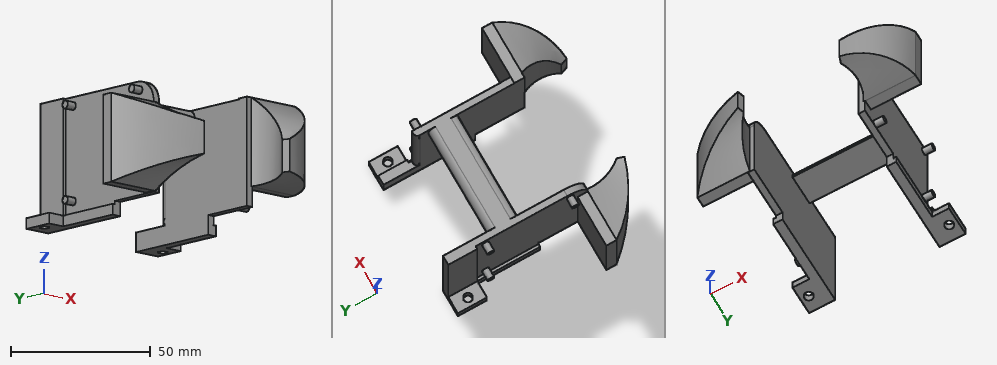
import cadquery as cq


inner_x = 21.6
plate_thickness = 2.7
outer_x = inner_x + plate_thickness
plate_top = 47.1
plate_front = 58.2
left_plate_rear = 0.0
right_plate_rear = 13.2
left_plate_bottom = 5.2
right_plate_bottom = 7.2
left_corner_radius = 8.5
right_corner_radius = 1.8

ledge_x = 25.4
rail_length = 37.9
foot_height = 4.0
foot_x = 32.4
foot_length = 12.0
foot_hole_diameter = 3.5
foot_hole_x = 29.0
foot_hole_y = 6.0

pin_diameter = 2.9
pin_end_x = 28.2
rear_pin_y = 16.0
front_pin_y = 50.9
upper_pin_z = 43.75
lower_pin_z = 8.7

bar_rear = 18.4
bar_width = 12.4
bar_height = 4.0
bar_edge_radius = 3.0

jaw_x = 45.1
jaw_plate_thickness = 4.2
jaw_height = 32.7
left_jaw_bottom = 5.6
left_jaw_top = left_jaw_bottom + jaw_height
right_jaw_bottom = 14.7
right_jaw_top = right_jaw_bottom + jaw_height

left_root_inner_x = -23.4
left_tip_outer_x = -17.3
left_tip_inner_x = -16.4
left_outer_top_middle = (-34.5, 68.6, 33.7)
left_outer_bottom_middle = (-34.5, 68.6, 11.2)
left_inner_top_middle = (-21.3, 67.1, 33.3)
left_inner_bottom_middle = (-21.3, 67.1, 12.0)
right_root_inner_x = 23.6
right_tip_outer_x = 24.6
right_tip_inner_x = 23.6
right_outer_top_middle = (39.2, 69.6, 39.6)
right_outer_bottom_middle = (39.2, 69.6, 15.6)
right_inner_top_middle = (26.1, 66.75, 39.3)
right_inner_bottom_middle = (26.1, 66.75, 15.7)
tip_y = 77.3
tip_inner_y = 74.5
tip_top = 29.1
tip_bottom = 17.1


def block(x_range, depth_range, z_range):
    """Box between two X values, two distances forward of the rear end and two Z values."""
    size = [abs(end - start) for start, end in (x_range, depth_range, z_range)]
    corner = (min(x_range), -max(depth_range), min(z_range))
    return cq.Workplane("XY").box(*size, centered=False).translate(corner)


def rail_and_foot(side, web_top, rear_block_top):
    """Base rail with its web, ledge, rear block and drilled foot; side is -1 (left) or 1 (right)."""
    web = block((side * inner_x, side * outer_x), (0, rail_length), (0, web_top))
    ledge = block((side * outer_x, side * ledge_x), (0, rail_length), (0, foot_height))
    rear_block = block((side * inner_x, side * ledge_x), (0, foot_length), (0, rear_block_top))
    foot = block((side * inner_x, side * foot_x), (0, foot_length), (0, foot_height))
    hole = (
        cq.Workplane("XY")
        .center(side * foot_hole_x, -foot_hole_y)
        .circle(foot_hole_diameter / 2)
        .extrude(foot_height)
    )
    return web.union(ledge).union(rear_block).union(foot.cut(hole))


def pins(side, front_pin_z):
    """Two rear pins and one front pin standing out from a side plate."""
    places = [(rear_pin_y, upper_pin_z), (rear_pin_y, lower_pin_z), (front_pin_y, front_pin_z)]
    return (
        cq.Workplane("YZ", origin=(side * inner_x, 0, 0))
        .pushPoints([(-depth, z) for depth, z in places])
        .circle(pin_diameter / 2)
        .extrude(side * (pin_end_x - inner_x))
    )


def side_plate(side, rear, bottom):
    """Plain upright plate standing on its base rail and reaching forward to the jaw."""
    return block((side * inner_x, side * outer_x), (rear, plate_front), (bottom, plate_top))


def arc_edge(start, middle, end):
    return cq.Edge.makeThreePointArc(*[cq.Vector(x, -depth, z) for x, depth, z in (start, middle, end)])


def horn(outer_top, outer_bottom, inner_top, inner_bottom):
    """Tapering curved horn with ruled faces between four arc edges, given as (x, depth, z) points."""
    corners = [outer_top, outer_bottom, inner_bottom, inner_top]
    edges = [arc_edge(*points) for points in corners]
    faces = []
    for index, edge in enumerate(edges):
        faces.append(cq.Face.makeRuledSurface(edges[index - 1], edge))
    for end in (0, -1):
        outline = [cq.Vector(x, -depth, z) for x, depth, z in (points[end] for points in corners)]
        faces.append(cq.Face.makeFromWires(cq.Wire.makePolygon(outline, close=True)))
    solid = cq.Solid.makeSolid(cq.Shell.makeShell(faces))
    return cq.Workplane(solid.fix())


left_plate = side_plate(-1, left_plate_rear, left_plate_bottom)
left_plate = left_plate.faces("<Y").edges(">Z").fillet(left_corner_radius)
left_base = rail_and_foot(-1, left_plate_bottom, plate_top)

right_plate = side_plate(1, right_plate_rear, right_plate_bottom)
right_plate = right_plate.faces(">Y").edges("<X").fillet(right_corner_radius)
right_base = rail_and_foot(1, right_plate_bottom, right_plate_bottom)

bar = block((-inner_x, inner_x), (bar_rear, bar_rear + bar_width), (plate_top - bar_height, plate_top))
bar = bar.edges("|X and >Z").fillet(bar_edge_radius)

jaw_depth = (plate_front - jaw_plate_thickness, plate_front)
left_jaw = block((-jaw_x, -outer_x), jaw_depth, (left_jaw_bottom, left_jaw_top))
right_jaw = block((inner_x, jaw_x), jaw_depth, (right_jaw_bottom, right_jaw_top))

left_horn = horn(
    outer_top=[
        (-jaw_x, plate_front, left_jaw_top),
        left_outer_top_middle,
        (left_tip_outer_x, tip_y, tip_top),
    ],
    outer_bottom=[
        (-jaw_x, plate_front, left_jaw_bottom),
        left_outer_bottom_middle,
        (left_tip_outer_x, tip_y, tip_bottom),
    ],
    inner_top=[
        (left_root_inner_x, plate_front, left_jaw_top),
        left_inner_top_middle,
        (left_tip_inner_x, tip_inner_y, tip_top),
    ],
    inner_bottom=[
        (left_root_inner_x, plate_front, left_jaw_bottom),
        left_inner_bottom_middle,
        (left_tip_inner_x, tip_inner_y, tip_bottom),
    ],
)
right_horn = horn(
    outer_top=[
        (jaw_x, plate_front, right_jaw_top),
        right_outer_top_middle,
        (right_tip_outer_x, tip_y, tip_top),
    ],
    outer_bottom=[
        (jaw_x, plate_front, right_jaw_bottom),
        right_outer_bottom_middle,
        (right_tip_outer_x, tip_y, tip_bottom),
    ],
    inner_top=[
        (right_root_inner_x, plate_front, right_jaw_top),
        right_inner_top_middle,
        (right_tip_inner_x, tip_inner_y, tip_top),
    ],
    inner_bottom=[
        (right_root_inner_x, plate_front, right_jaw_bottom),
        right_inner_bottom_middle,
        (right_tip_inner_x, tip_inner_y, tip_bottom),
    ],
)

result = left_plate.union(left_base).union(pins(-1, upper_pin_z))
result = result.union(bar).union(right_plate).union(right_base).union(pins(1, lower_pin_z))
result = result.union(left_jaw).union(right_jaw).union(left_horn).union(right_horn)